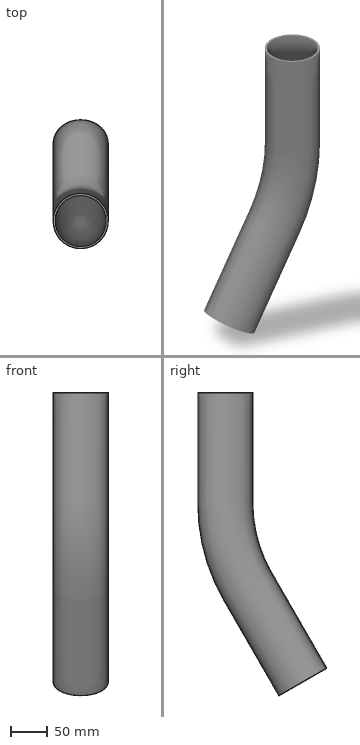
import cadquery as cq
import math

outer_diameter = 76.0
inner_diameter = 70.0
leg_length = 152.5
bend_radius = 228.5
bend_angle = math.radians(30)


def bend_point(angle):
    """Centerline point (Y, Z) after turning by the given angle from the upper leg."""
    return (bend_radius * (1 - math.cos(angle)), -bend_radius * math.sin(angle))


bend_middle = bend_point(bend_angle / 2)
bend_end = bend_point(bend_angle)
lower_end = (
    bend_end[0] + leg_length * math.sin(bend_angle),
    bend_end[1] - leg_length * math.cos(bend_angle),
)
centerline = (
    cq.Workplane("YZ")
    .moveTo(0, leg_length)
    .lineTo(0, 0)
    .threePointArc(bend_middle, bend_end)
    .lineTo(*lower_end)
)

result = (
    cq.Workplane("XY")
    .workplane(offset=leg_length)
    .circle(outer_diameter / 2)
    .circle(inner_diameter / 2)
    .sweep(centerline)
)